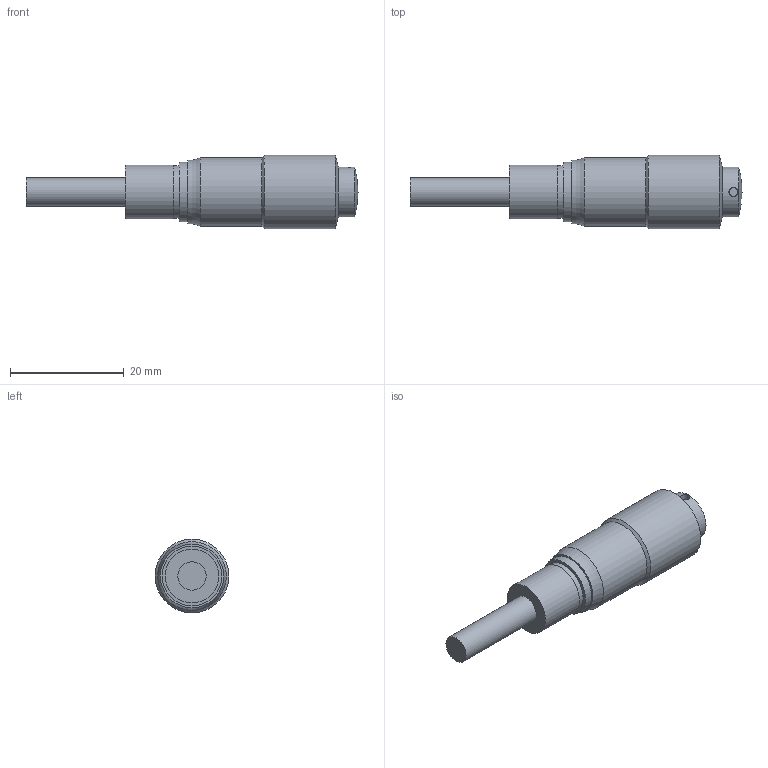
import cadquery as cq


stem_start = 17.5
neck_start = 26.0
collar_start = 27.0
flare_start = 28.5
flare_end = 30.7
grip_start = 42.0
shoulder_start = 54.5
shoulder_end = 55.0
dome_start = 57.9
total_length = 58.5

spindle_radius = 2.5
stem_radius = 4.75
neck_radius = 4.65
collar_radius = 5.25
flare_radius = 5.6
thimble_radius = 6.05
grip_radius = 6.5
shoulder_end_radius = 4.5
knob_radius = 4.4

flare_sag = 0.13

hole_diameter = 1.6
hole_depth = 2.0
hole_position = 57.0


def arc_midpoint_on_dome():
    """Point halfway up the spherical dome that closes the knob."""
    height = total_length - dome_start
    sphere_radius = (knob_radius**2 + height**2) / (2 * height)
    radius = knob_radius / 2
    rise = (sphere_radius**2 - radius**2) ** 0.5 - sphere_radius
    return total_length + rise, radius


def make_body():
    """Half profile (X along the axis, Y as radius) revolved about X."""
    grip_chamfer_start = grip_start - (grip_radius - thimble_radius)
    flare_middle = (
        (flare_start + flare_end) / 2,
        (flare_radius + thimble_radius) / 2 - flare_sag,
    )
    profile = (
        cq.Workplane("XY")
        .moveTo(0, 0)
        .lineTo(0, spindle_radius)
        .lineTo(stem_start, spindle_radius)
        .lineTo(stem_start, stem_radius)
        .lineTo(neck_start, stem_radius)
        .lineTo(neck_start, neck_radius)
        .lineTo(collar_start, neck_radius)
        .lineTo(collar_start, collar_radius)
        .lineTo(flare_start, collar_radius)
        .lineTo(flare_start, flare_radius)
        .threePointArc(flare_middle, (flare_end, thimble_radius))
        .lineTo(grip_chamfer_start, thimble_radius)
        .lineTo(grip_start, grip_radius)
        .lineTo(shoulder_start, grip_radius)
        .lineTo(shoulder_end, shoulder_end_radius)
        .lineTo(shoulder_end, knob_radius)
        .lineTo(dome_start, knob_radius)
        .threePointArc(arc_midpoint_on_dome(), (total_length, 0))
        .close()
    )
    return profile.revolve(360, (0, 0, 0), (1, 0, 0))


def make_spanner_hole():
    """Blind drill entering the knob from the top (+Z)."""
    return (
        cq.Workplane("XY", origin=(hole_position, 0, knob_radius - hole_depth))
        .circle(hole_diameter / 2)
        .extrude(2 * hole_depth)
    )


result = make_body().cut(make_spanner_hole())